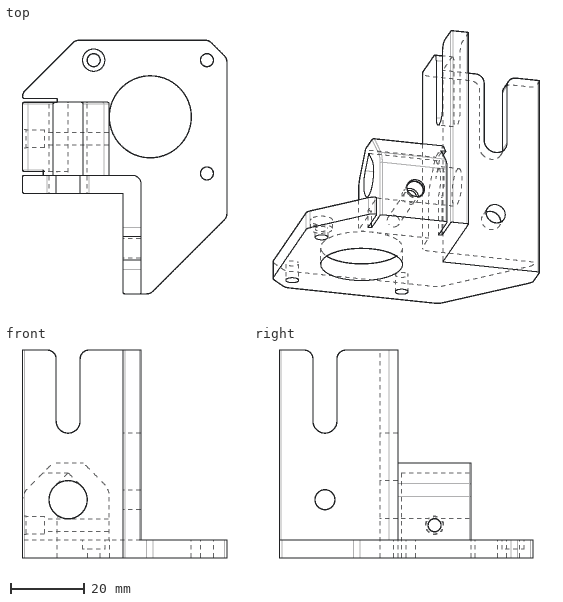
import cadquery as cq
import math

size_x = 56.0
size_y = 69.5
size_z = 57.0

plate_thickness = 5.0
wall_thickness = 5.0
wall_length = 32.5
wall_inner = wall_length - wall_thickness
corner_radius = 2.5
edge_radius = 0.5

small_corner_cut = 5.0
left_corner_cut = 14.5
lower_corner_cut = 21.0

wall_centre = 12.5
slot_width = 6.5
slot_depth = 19.5
wall_hole_z = 16.0
large_hole_diameter = 10.4
small_hole_diameter = 5.4

motor_x = 35.0
motor_y = 48.5
motor_bore_diameter = 22.4
screw_pitch = 31.0
screw_diameter = 3.5
plate_recess_diameter = 6.1
plate_recess_depth = 2.5

block_width = 23.75
block_end_y = 52.5
block_height = 26.1
block_top_left = 8.4
block_top_right = 16.6
shoulder_radius = 5.0
block_hole_y = 42.5
block_hole_z = 9.0
block_lead_in_diameter = 5.0
block_lead_in_depth = 1.0
block_recess_diameter = 4.7
block_recess_depth = 6.0

gap_width = 1.0
gap_length = 9.5


def cylinder(diameter, start, direction, length):
    solid = cq.Solid.makeCylinder(diameter / 2, length, cq.Vector(*start), cq.Vector(*direction))
    return cq.Workplane(solid)


def box(x_range, y_range, z_range):
    ranges = (x_range, y_range, z_range)
    size = [high - low for low, high in ranges]
    corner = tuple(low for low, high in ranges)
    return cq.Workplane().box(*size, centered=False).translate(corner)


def make_plate():
    plate_left_y = block_end_y + gap_width
    outline = [
        (wall_inner, 0),
        (size_x - lower_corner_cut, 0),
        (size_x, lower_corner_cut),
        (size_x, size_y - small_corner_cut),
        (size_x - small_corner_cut, size_y),
        (left_corner_cut, size_y),
        (0, size_y - left_corner_cut),
        (0, plate_left_y),
        (gap_length, plate_left_y),
        (gap_length, wall_inner),
        (wall_inner, wall_inner),
    ]
    plate = cq.Workplane().polyline(outline).close().extrude(plate_thickness)

    def upright_edge(x, y):
        return cq.selectors.NearestToPointSelector((x, y, plate_thickness / 2))

    for x, y in outline[1:7]:
        plate = plate.edges(upright_edge(x, y)).fillet(corner_radius)
    for x, y in (outline[0], outline[7]):
        plate = plate.edges(upright_edge(x, y)).fillet(edge_radius)
    return plate


def make_wall_slot():
    """Slot through a wall that runs along X, with a round bottom and rounded mouth corners."""
    half = slot_width / 2
    mouth = half + corner_radius
    bottom_z = size_z - slot_depth
    shoulder_z = size_z - corner_radius
    bend = corner_radius * (1 - math.sqrt(0.5))
    return (
        cq.Workplane("XZ", origin=(wall_centre, wall_length, 0))
        .moveTo(-mouth, size_z)
        .threePointArc((-half - bend, size_z - bend), (-half, shoulder_z))
        .lineTo(-half, bottom_z)
        .threePointArc((0, bottom_z - half), (half, bottom_z))
        .lineTo(half, shoulder_z)
        .threePointArc((half + bend, size_z - bend), (mouth, size_z))
        .close()
        .extrude(wall_thickness)
    )


def make_walls():
    outline = [
        (0, wall_inner),
        (wall_inner, wall_inner),
        (wall_inner, 0),
        (wall_length, 0),
        (wall_length, wall_length),
        (0, wall_length),
    ]
    walls = cq.Workplane().polyline(outline).close().extrude(size_z)
    walls = walls.edges("|Z and (<X or <Y)").fillet(edge_radius)
    walls = walls.edges(cq.selectors.NearestToPointSelector((wall_length, wall_length, size_z / 2)))
    walls = walls.fillet(corner_radius)
    slot = make_wall_slot()
    other_slot = slot.rotate((0, 0, 0), (0, 0, 1), 90).mirror("YZ")
    return walls.cut(slot).cut(other_slot)


def make_block():
    left_shoulder_z = block_height - block_top_left
    right_shoulder_z = block_height - (block_width - block_top_right)
    outline = [
        (0, 0),
        (0, left_shoulder_z),
        (block_top_left, block_height),
        (block_top_right, block_height),
        (block_width, right_shoulder_z),
        (block_width, 0),
    ]
    block = (
        cq.Workplane("XZ", origin=(0, block_end_y, 0))
        .polyline(outline)
        .close()
        .extrude(block_end_y - wall_length)
    )
    middle_y = (block_end_y + wall_length) / 2
    for x, z in (outline[1], outline[4]):
        block = block.edges(cq.selectors.NearestToPointSelector((x, middle_y, z))).fillet(shoulder_radius)
    for x, z in (outline[0], outline[5]):
        side = cq.selectors.NearestToPointSelector((x, block_end_y, z + left_shoulder_z / 2))
        block = block.edges(side).fillet(edge_radius)
    return block


def make_rod_bore():
    """Round hole that runs along Y through one wall and the block."""
    start = (wall_centre, wall_inner, wall_hole_z)
    return cylinder(large_hole_diameter, start, (0, 1, 0), block_end_y - wall_inner)


def make_bore_roof():
    """Two 45 degree faces that close the rod hole to a peak inside the block."""
    tangent = large_hole_diameter / 2 * math.sqrt(0.5)
    return (
        cq.Workplane("XZ", origin=(wall_centre, block_end_y, wall_hole_z))
        .polyline([(0, 0), (tangent, tangent), (0, 2 * tangent), (-tangent, tangent)])
        .close()
        .extrude(block_end_y - wall_length)
    )


def cut_block_gap(block):
    """Open the gap beside the wall, up to the peak of the rod hole, and round its edges."""
    peak_z = wall_hole_z + large_hole_diameter * math.sqrt(0.5)
    gap_end_y = wall_length + gap_width
    y_range = (wall_length, gap_end_y)
    block = block.cut(box((0, gap_length), y_range, (0, wall_hole_z)))
    block = block.cut(box((0, wall_centre), y_range, (wall_hole_z, peak_z)))
    block = block.edges(cq.selectors.NearestToPointSelector((0, gap_end_y, block_hole_z))).fillet(edge_radius)
    hole_drop = math.sqrt((large_hole_diameter / 2) ** 2 - (wall_centre - gap_length) ** 2)
    lip = (gap_length, wall_length + gap_width / 2, wall_hole_z - hole_drop)
    return block.edges(cq.selectors.NearestToPointSelector(lip)).fillet(edge_radius)


def make_small_wall_hole():
    start = (wall_inner, wall_centre, wall_hole_z)
    return cylinder(small_hole_diameter, start, (1, 0, 0), wall_thickness)


def cut_motor_holes(part):
    half = screw_pitch / 2
    recessed = (motor_x - half, motor_y + half)
    plain = [(motor_x + half, motor_y + half), (motor_x + half, motor_y - half)]
    part = part.cut(cylinder(motor_bore_diameter, (motor_x, motor_y, 0), (0, 0, 1), plate_thickness))
    for x, y in [recessed] + plain:
        part = part.cut(cylinder(screw_diameter, (x, y, 0), (0, 0, 1), plate_thickness))
    recess_start = (*recessed, plate_thickness)
    return part.cut(cylinder(plate_recess_diameter, recess_start, (0, 0, -1), plate_recess_depth))


def cut_block_screw_hole(part):
    """Screw hole along X with a stepped recess at its -X end."""
    start = (0, block_hole_y, block_hole_z)
    steps = [
        (block_lead_in_diameter, block_lead_in_depth),
        (block_recess_diameter, block_recess_depth),
        (screw_diameter, block_width),
    ]
    for diameter, depth in steps:
        part = part.cut(cylinder(diameter, start, (1, 0, 0), depth))
    return part


rod_bore = make_rod_bore()
walls = make_walls().cut(rod_bore).cut(make_small_wall_hole())
block = make_block().cut(rod_bore).cut(make_bore_roof())
block = cut_block_gap(block)
result = make_plate().union(walls).union(block).clean()
result = cut_motor_holes(result)
result = cut_block_screw_hole(result)